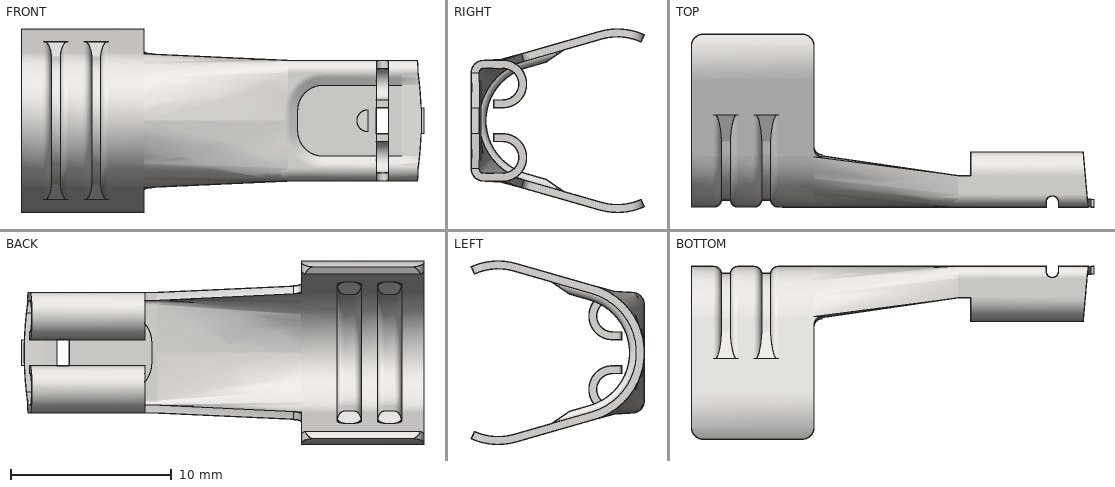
import cadquery as cq
import math

LENGTH = 25.07
HEIGHT = 10.78
WIDTH = 11.43
SHEET = 0.5
OVERCUT = 0.25

CLIP_LENGTH = 7.65
BACK_RADIUS = 4.34
ARM_ANGLE = math.radians(16)
LIP_RADIUS = 4.0
LIP_CORNER = 0.75

GROOVE_POSITIONS = (2.15, 4.66)
GROOVE_DEPTH = 0.43
GROOVE_WIDTH = 1.53
SHOULDER_RADIUS = 0.5
GROOVE_RUNOUT = (0.85, 2.7)
GROOVE_END_STEP = 0.03
BUMP_RUNOUT = (1.3, 2.58)
BUMP_TIP_ROUND = 0.6

TIP_START = 16.6
TIP_WIDTH = 7.52
TIP_CORNER = 0.78
WALL_TOP = 1.98
CURL_START = 17.37
CURL_RADIUS = 1.48
CURL_END = 1.4
CURL_CORNER = 0.2
TIP_END = 24.7
TIP_LEAN = math.radians(5)
NOSE_END = 24.9
TONGUE_WIDTH = 1.6

NECK_SPLITS = (2.68, 3.5)
WEB_FILLET = 0.5

RECESS_DEPTH = 0.28
RECESS_SHEET = 0.35
RECESS_HALF = 2.2
RECESS_LEFT = 17.2
RECESS_CORNER = 1.58
RECESS_WALL = 0.45
RECESS_ROUND = 0.33
RAMP_START = 23.67
RAMP_END_DEPTH = 0.03
PAD_MARGIN = 0.25

SLOT_START = 22.09
SLOT_WIDTH = 0.75
SLOT_DEPTH = 0.7
LATCH_X = 21.55
LATCH_RADIUS = 0.68
LATCH_HEIGHT = 0.08

tip_half = TIP_WIDTH / 2
flat_half = tip_half - TIP_CORNER
arm_start_angle = math.pi / 2 - ARM_ANGLE
arm_dir = (math.cos(ARM_ANGLE), math.sin(ARM_ANGLE))
arm_inward = (math.sin(ARM_ANGLE), -math.cos(ARM_ANGLE))
half_groove = GROOVE_WIDTH / 2
bump_flat = half_groove - GROOVE_DEPTH
bump_bend = GROOVE_DEPTH * math.sqrt(0.5)
bump_base = SHEET / 2
bump_top = SHEET + GROOVE_DEPTH


def mirrored(body):
    """The body joined with its mirror image across Z = 0."""
    return body.union(body.mirror("XY"))


def flip(point):
    return (point[0], -point[1])


def back_point(angle, radius=BACK_RADIUS):
    """(Y, Z) on the round back, at an angle from its lowest point."""
    return (BACK_RADIUS - radius * math.cos(angle), radius * math.sin(angle))


arm_start = back_point(arm_start_angle)


def clip_band():
    lip_rise = LIP_RADIUS * (1 - math.cos(ARM_ANGLE))
    arm_length = (WIDTH / 2 - arm_start[1] - lip_rise) / arm_dir[1]
    lip_y = arm_start[0] + arm_length * arm_dir[0] + LIP_RADIUS * arm_inward[0]
    lip_z = WIDTH / 2 - LIP_RADIUS
    lip_end = math.asin((HEIGHT - lip_y) / LIP_RADIUS)

    def lip_point(angle, radius):
        return (lip_y + radius * math.sin(angle), lip_z + radius * math.cos(angle))

    def half_side(inset):
        back = BACK_RADIUS - inset
        lip = LIP_RADIUS - inset
        arm_foot = back_point(arm_start_angle, back)
        return arm_foot, lip_point(-ARM_ANGLE, lip), lip_point(0, lip), lip_point(lip_end, lip)

    foot, lip_foot, lip_top, lip_tip = half_side(0)
    foot_in, lip_foot_in, lip_top_in, lip_tip_in = half_side(SHEET)
    band = (
        cq.Workplane("YZ")
        .moveTo(*lip_tip)
        .threePointArc(lip_top, lip_foot)
        .lineTo(*foot)
        .threePointArc((0, 0), flip(foot))
        .lineTo(*flip(lip_foot))
        .threePointArc(flip(lip_top), flip(lip_tip))
        .lineTo(*flip(lip_tip_in))
        .threePointArc(flip(lip_top_in), flip(lip_foot_in))
        .lineTo(*flip(foot_in))
        .threePointArc((SHEET, 0), foot_in)
        .lineTo(*lip_foot_in)
        .threePointArc(lip_top_in, lip_tip_in)
        .close()
        .extrude(CLIP_LENGTH)
    )
    rounding = (
        cq.Workplane("XY")
        .box(CLIP_LENGTH, HEIGHT, WIDTH, centered=(False, False, True))
        .edges("|Z and >Y")
        .fillet(LIP_CORNER)
    )
    return band.intersect(rounding)


def along_band(x, outline, side_outline, arm_length, tip_round=0):
    """Carry a cross-section, drawn as (offset in X, depth), around the back and along both arms.

    The arm stretch keeps only what lies within side_outline, drawn as (distance along arm, depth).
    A tip_round above zero rounds the corners of its end, seen square to the arm.
    """
    origin = (x, *arm_start)
    section = cq.Plane(origin=origin, xDir=(1, 0, 0), normal=(0, *arm_dir))
    side = cq.Plane(origin=origin, xDir=(0, *arm_dir), normal=(-1, 0, 0))
    turn = math.degrees(2 * arm_start_angle)
    around = outline(cq.Workplane(section)).revolve(turn, (0, BACK_RADIUS), (1, BACK_RADIUS))
    limit = cq.Workplane(side).polyline(side_outline).close().extrude(CLIP_LENGTH, both=True)
    arm = outline(cq.Workplane(section)).extrude(arm_length).intersect(limit)
    if tip_round > 0:
        face = cq.Plane(origin=origin, xDir=(0, *arm_dir), normal=(0, *arm_inward))
        footprint = cq.Sketch().rect(2 * arm_length, 2 * half_groove).vertices().fillet(tip_round)
        arm = arm.intersect(cq.Workplane(face).placeSketch(footprint).extrude(bump_top))
    return around.union(mirrored(arm))


def groove_outline(plane):
    """Flat floor between two convex shoulders, which leave the surface smoothly."""

    def shoulder_point(angle):
        offset = half_groove - SHOULDER_RADIUS * math.sin(angle)
        return (offset, SHOULDER_RADIUS * (1 - math.cos(angle)))

    turn = math.acos(1 - GROOVE_DEPTH / SHOULDER_RADIUS)
    middle = shoulder_point(turn / 2)
    foot = shoulder_point(turn)
    return (
        plane.moveTo(-half_groove, -OVERCUT)
        .lineTo(-half_groove, 0)
        .threePointArc((-middle[0], middle[1]), (-foot[0], foot[1]))
        .lineTo(*foot)
        .threePointArc(middle, (half_groove, 0))
        .lineTo(half_groove, -OVERCUT)
        .close()
    )


def bump_outline(plane):
    """Flat-topped ridge with rounded shoulders, rooted inside the sheet."""
    return (
        plane.moveTo(-half_groove, bump_base)
        .lineTo(-half_groove, SHEET)
        .threePointArc((-bump_flat - bump_bend, SHEET + bump_bend), (-bump_flat, bump_top))
        .lineTo(bump_flat, bump_top)
        .threePointArc((bump_flat + bump_bend, SHEET + bump_bend), (half_groove, SHEET))
        .lineTo(half_groove, bump_base)
        .close()
    )


def runout_outline(runout, base, surface, depth):
    start, end = runout
    return [(0, base), (end, base), (end, surface), (start, depth), (0, depth)]


def groove(x):
    side = runout_outline(GROOVE_RUNOUT, -OVERCUT, GROOVE_END_STEP, GROOVE_DEPTH)
    return along_band(x, groove_outline, side, GROOVE_RUNOUT[1])


def bump(x):
    side = runout_outline(BUMP_RUNOUT, bump_base, SHEET, bump_top)
    return along_band(x, bump_outline, side, BUMP_RUNOUT[1], BUMP_TIP_ROUND)


def clip():
    body = clip_band()
    for x in GROOVE_POSITIONS:
        body = body.union(bump(x))
    for x in GROOVE_POSITIONS:
        body = body.cut(groove(x))
    return body


def corner_middle(inset):
    """Middle of the tip's rounded corner, on the surface at an inset from the outside."""
    reach = (TIP_CORNER - inset) * math.sqrt(0.5)
    return (TIP_CORNER - reach, flat_half + reach)


def channel_outline(plane):
    """The U of the tip; each side has its middle split, to match the outline on the clip."""
    inner = tip_half - SHEET
    return (
        plane.moveTo(WALL_TOP, tip_half)
        .lineTo(TIP_CORNER, tip_half)
        .threePointArc(corner_middle(0), (0, flat_half))
        .lineTo(0, 0)
        .lineTo(0, -flat_half)
        .threePointArc(flip(corner_middle(0)), (TIP_CORNER, -tip_half))
        .lineTo(WALL_TOP, -tip_half)
        .lineTo(WALL_TOP, -inner)
        .lineTo(TIP_CORNER, -inner)
        .threePointArc(flip(corner_middle(SHEET)), (SHEET, -flat_half))
        .lineTo(SHEET, 0)
        .lineTo(SHEET, flat_half)
        .threePointArc(corner_middle(SHEET), (TIP_CORNER, inner))
        .lineTo(WALL_TOP, inner)
        .close()
    )


def neck_start_outline(plane):
    """The round back of the clip, split into as many pieces as the U of the tip."""
    upper = [0.0] + [math.asin(z / BACK_RADIUS) for z in NECK_SPLITS] + [arm_start_angle]
    angles = [-a for a in reversed(upper[1:])] + upper
    inner = BACK_RADIUS - SHEET

    def follow(path, radius, stops):
        for a, b in zip(stops, stops[1:]):
            path = path.threePointArc(back_point((a + b) / 2, radius), back_point(b, radius))
        return path

    path = plane.moveTo(*back_point(angles[-1]))
    path = follow(path, BACK_RADIUS, angles[::-1])
    path = path.lineTo(*back_point(angles[0], inner))
    return follow(path, inner, angles).close()


def neck():
    start = neck_start_outline(cq.Workplane("YZ", origin=(CLIP_LENGTH, 0, 0))).val()
    end = channel_outline(cq.Workplane("YZ", origin=(TIP_START, 0, 0))).val()
    return cq.Workplane(cq.Solid.makeLoft([start, end], True))


def web():
    """Small rounded corner between each arm and the neck."""
    side = cq.Plane(
        origin=(CLIP_LENGTH, *arm_start), xDir=(1, 0, 0), normal=(0, -arm_inward[0], -arm_inward[1])
    )
    piece = (
        cq.Workplane(side)
        .moveTo(0, 0)
        .lineTo(WEB_FILLET, 0)
        .radiusArc((0, WEB_FILLET), WEB_FILLET)
        .close()
        .extrude(-SHEET)
    )
    return mirrored(piece)


def curl():
    centre_z = tip_half - CURL_RADIUS
    inner = CURL_RADIUS - SHEET
    mid = CURL_RADIUS - SHEET / 2
    piece = (
        cq.Workplane("YZ", origin=(CURL_START, 0, 0))
        .moveTo(WALL_TOP, tip_half)
        .threePointArc((WALL_TOP + CURL_RADIUS, centre_z), (WALL_TOP, centre_z - CURL_RADIUS))
        .lineTo(CURL_END, centre_z - CURL_RADIUS)
        .lineTo(CURL_END, centre_z - inner)
        .lineTo(WALL_TOP, centre_z - inner)
        .threePointArc((WALL_TOP + inner, centre_z), (WALL_TOP, tip_half - SHEET))
        .close()
        .extrude(LENGTH - CURL_START)
    )
    piece = piece.edges(cq.selectors.NearestToPointSelector((CURL_START, CURL_END, centre_z - mid)))
    return mirrored(piece.fillet(CURL_CORNER))


def recess_half_section(depth):
    """(Z, Y) points of the recess from the floor's edge out to the rim, at a given depth."""
    share = depth / RECESS_DEPTH
    edge = RECESS_HALF + RECESS_WALL
    drop = TIP_CORNER - math.sqrt(TIP_CORNER**2 - RECESS_ROUND**2)
    half_drop = TIP_CORNER - math.sqrt(TIP_CORNER**2 - (RECESS_ROUND / 2) ** 2)
    floor = (RECESS_HALF, depth)
    wall = (edge, drop * share)
    middle = (edge + RECESS_ROUND / 2, half_drop * share)
    return floor, wall, middle, (edge + RECESS_ROUND, 0)


def recess_section(plane, centre, depth):
    """Rim, sloping wall and floor on one side of the recess, reaching in to a centre line."""
    floor, wall, middle, rim = recess_half_section(depth)
    return (
        plane.moveTo(centre, -OVERCUT)
        .lineTo(centre, depth)
        .lineTo(*floor)
        .lineTo(*wall)
        .threePointArc(middle, rim)
        .lineTo(rim[0], -OVERCUT)
        .close()
    )


def cross_plane(x):
    """Plane across the part with Z as its first direction and Y as its second."""
    return cq.Workplane(cq.Plane(origin=(x, 0, 0), xDir=(0, 0, 1), normal=(-1, 0, 0)))


def recess():
    corner_x = RECESS_LEFT + RECESS_CORNER
    corner_z = RECESS_HALF - RECESS_CORNER
    straight = recess_section(cross_plane(RAMP_START), 0, RECESS_DEPTH).extrude(RAMP_START - corner_x)
    corner = recess_section(cross_plane(corner_x), corner_z, RECESS_DEPTH).revolve(
        360, (corner_z, 0), (corner_z, 1)
    )
    end_plane = cq.Plane(origin=(corner_x + corner_z, 0, 0), xDir=(-1, 0, 0), normal=(0, 0, -1))
    end = recess_section(cq.Workplane(end_plane), corner_z, RECESS_DEPTH).extrude(corner_z, both=True)
    ramp_from = recess_section(cross_plane(RAMP_START), 0, RECESS_DEPTH).val()
    ramp_to = recess_section(cross_plane(NOSE_END), 0, RAMP_END_DEPTH).val()
    ramp = cq.Workplane(cq.Solid.makeLoft([ramp_from, ramp_to], True))
    return end.union(mirrored(straight.union(corner).union(ramp)))


def floor_pad():
    """Inner side of the recess floor, standing proud of the channel's inner face."""
    left = RECESS_LEFT - PAD_MARGIN
    half = RECESS_HALF + PAD_MARGIN
    top = RECESS_SHEET + RECESS_DEPTH
    base = SHEET / 2
    pad = (
        cq.Workplane("XY", origin=(left, base, 0))
        .box(LENGTH - left, top - base, 2 * half, centered=(False, False, True))
        .edges("|Y and <X")
        .fillet(RECESS_CORNER + PAD_MARGIN)
    )
    side = [(left, base), (left, top), (RAMP_START, top), (LENGTH, SHEET), (LENGTH, base)]
    return pad.intersect(cq.Workplane("XY").polyline(side).close().extrude(half, both=True))


def end_limit():
    """Space the tip may fill: up to the leaning end, and to the bowed nose with its tongue."""
    top = WALL_TOP + CURL_RADIUS
    top_end = TIP_END - top * math.tan(TIP_LEAN)
    side = [(TIP_START, 0), (TIP_END, 0), (top_end, top), (TIP_START, top)]
    walls = cq.Workplane("XY").polyline(side).close().extrude(tip_half, both=True)
    nose_height = RECESS_SHEET + RECESS_DEPTH
    nose = (
        cq.Workplane("XZ")
        .moveTo(TIP_START, -flat_half)
        .lineTo(TIP_END, -flat_half)
        .threePointArc((NOSE_END, 0), (TIP_END, flat_half))
        .lineTo(TIP_START, flat_half)
        .close()
        .extrude(-nose_height)
    )
    tongue = cq.Workplane("XY", origin=(TIP_START, 0, 0)).box(
        LENGTH - TIP_START, SHEET, TONGUE_WIDTH, centered=(False, False, True)
    )
    return walls.union(nose).union(tongue)


def slot():
    """Round-topped notch across the back, opened through the recess floor."""
    radius = SLOT_WIDTH / 2
    shoulder = SLOT_DEPTH - radius
    notch = (
        cq.Workplane("XY")
        .moveTo(SLOT_START, -OVERCUT)
        .lineTo(SLOT_START, shoulder)
        .threePointArc((SLOT_START + radius, SLOT_DEPTH), (SLOT_START + SLOT_WIDTH, shoulder))
        .lineTo(SLOT_START + SLOT_WIDTH, -OVERCUT)
        .close()
        .extrude(TIP_WIDTH, both=True)
    )
    opening = cq.Workplane("XY", origin=(SLOT_START, 0, 0)).box(
        SLOT_WIDTH, RECESS_SHEET + RECESS_DEPTH, TIP_WIDTH - 2 * SHEET, centered=(False, False, True)
    )
    return notch.union(opening)


def latch():
    """Half-round bump which rises gently from the recess floor towards the slot."""
    root = RECESS_DEPTH + RECESS_SHEET / 2
    disc = cq.Workplane("XZ").center(LATCH_X, 0).circle(LATCH_RADIUS).extrude(-root)
    left = LATCH_X - LATCH_RADIUS
    side = [(left, root), (left, RECESS_DEPTH), (LATCH_X, RECESS_DEPTH - LATCH_HEIGHT), (LATCH_X, root)]
    return disc.intersect(cq.Workplane("XY").polyline(side).close().extrude(LATCH_RADIUS, both=True))


channel = channel_outline(cq.Workplane("YZ", origin=(TIP_START, 0, 0))).extrude(LENGTH - TIP_START)
tip = channel.union(curl()).union(floor_pad()).intersect(end_limit())

result = clip().union(neck()).union(web()).union(tip).cut(recess()).union(latch()).cut(slot())